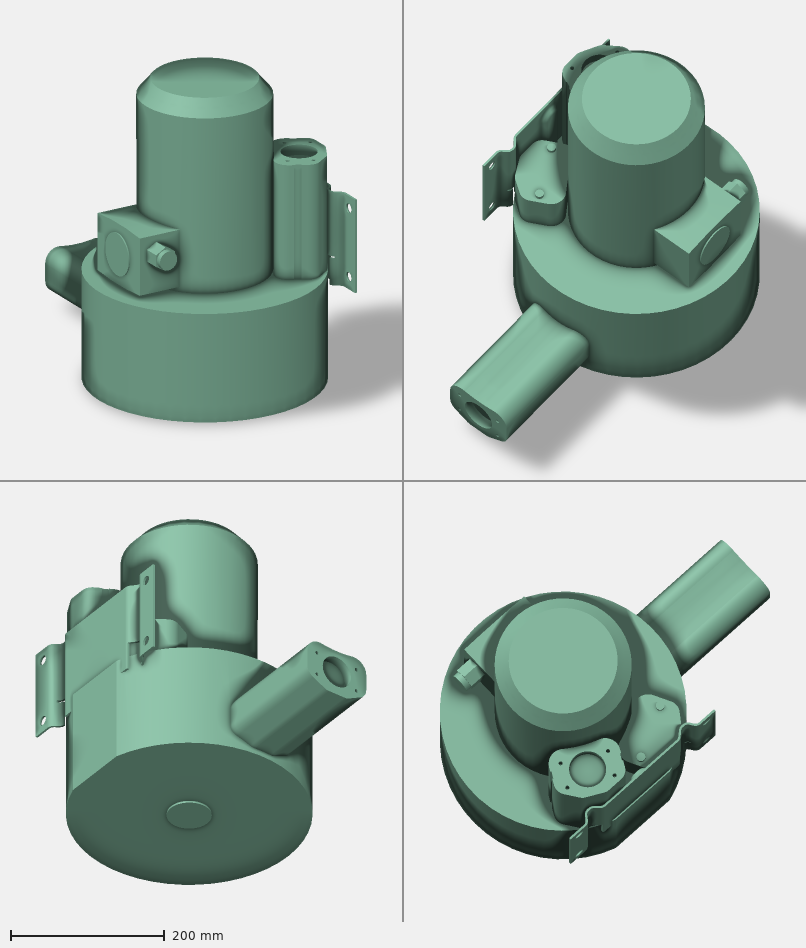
import cadquery as cq
import math


casing_radius = 160.5
casing_height = 152.0
casing_flat_y = 153.5
hub_diameter = 59.0
hub_height = 3.0
motor_radius = 89.5
motor_top_z = 419.5
motor_cone_height = 21.5
motor_cap_radius = 71.0

pipe_half_width = 48.0
pipe_upper_radius = 20.0
pipe_lower_radius = 17.0
pipe_bevel_blend_radius = 14.5
pipe_upper_corner = 15.5
pipe_lower_corner = -9.0
pipe_bottom = -35.5
pipe_saddle_radius = 90.0
pipe_saddle_depth = 33.0
port_angle = 27.5
screw_half_width = 32.0
screw_half_height = 17.0
screw_hole_diameter = 5.5
bore_depth = 14.5

outlet_end_x = casing_radius - 482.5
outlet_z = 44.0
outlet_bore_diameter = 46.0

port_distance = pipe_saddle_radius + pipe_saddle_depth
valve_top_z = 204.5
valve_bolt_diameter = 11.5
valve_bolt_height = 4.5
valve_bolt_half_spacing = 36.5
valve_bolt_distance = 121.0
inlet_top_z = 312.5
inlet_bore_diameter = 48.3
inlet_groove_width = 9.5
inlet_groove_depth = 1.5

box_left = -51.5
box_right = 54.0
box_front_y = -131.7
box_z = 199.5
box_side_half_height = 40.0
box_middle_half_height = 43.0
cover_diameter = 59.0
cover_height = 2.0
gland_y = -106.5
gland_z = 213.5
gland_nut_corners = 33.0
gland_nut_length = 23.0
gland_cap_diameter = 26.0
gland_cap_length = 7.5

bracket_back_y = 154.0
bracket_thickness = 3.0
bend_inner_radius = 7.0
bracket_bottom_z = 130.0
bracket_top_z = 260.5
bracket_half_width = 128.0
bracket_hole_x = 112.5
bracket_hole_inset = 17.5
bracket_hole_diameter = 13.0
panel_setback = 2.5
groove_depth = 12.5
ear_fold_x = 96.5
groove_outer_x = 88.0
groove_inner_x = 79.0
panel_fold_x = 68.0
notch_inner_x = panel_fold_x
notch_outer_x = 84.5
notch_top_z = 169.0
slit_outer_x = 91.5
slit_height = 3.0
rib_base_width = 32.0
rib_height = 7.0
rib_side_run = 6.5
rib_bottom_z = 137.5
rib_top_z = 251.0
rib_blend_radius = 5.5


def cylinder(diameter, height, x=0.0, y=0.0, z=0.0):
    return cq.Workplane("XY", origin=(x, y, z)).circle(diameter / 2).extrude(height)


def make_pipe(plane, length):
    """Extruded pipe section: saddle at +v, rounded corners and a bevelled bottom at -v."""
    bevel = math.radians(port_angle)
    upper_u = pipe_half_width - pipe_upper_radius
    lower_u = pipe_half_width - pipe_lower_radius
    saddle_v = pipe_saddle_depth + pipe_saddle_radius

    saddle_angle = math.atan2(upper_u, saddle_v - pipe_upper_corner)
    saddle_end = (
        upper_u - pipe_upper_radius * math.sin(saddle_angle),
        pipe_upper_corner + pipe_upper_radius * math.cos(saddle_angle),
    )
    upper_mid_angle = (math.pi / 2 - saddle_angle) / 2
    upper_mid = (
        upper_u + pipe_upper_radius * math.sin(upper_mid_angle),
        pipe_upper_corner + pipe_upper_radius * math.cos(upper_mid_angle),
    )
    lower_mid_angle = (math.pi / 2 - bevel) / 2
    lower_mid = (
        lower_u + pipe_lower_radius * math.cos(lower_mid_angle),
        pipe_lower_corner - pipe_lower_radius * math.sin(lower_mid_angle),
    )
    bevel_start = (
        lower_u + pipe_lower_radius * math.sin(bevel),
        pipe_lower_corner - pipe_lower_radius * math.cos(bevel),
    )
    bevel_end_u = bevel_start[0] - (bevel_start[1] - pipe_bottom) / math.tan(bevel)

    def mirrored(point):
        return (-point[0], point[1])

    pipe = (
        cq.Workplane(plane)
        .moveTo(*mirrored(saddle_end))
        .threePointArc((0, pipe_saddle_depth), saddle_end)
        .threePointArc(upper_mid, (pipe_half_width, pipe_upper_corner))
        .lineTo(pipe_half_width, pipe_lower_corner)
        .threePointArc(lower_mid, bevel_start)
        .lineTo(bevel_end_u, pipe_bottom)
        .lineTo(-bevel_end_u, pipe_bottom)
        .lineTo(*mirrored(bevel_start))
        .threePointArc(mirrored(lower_mid), (-pipe_half_width, pipe_lower_corner))
        .lineTo(-pipe_half_width, pipe_upper_corner)
        .threePointArc(mirrored(upper_mid), mirrored(saddle_end))
        .close()
        .extrude(length)
    )
    for u in (-bevel_end_u, bevel_end_u):
        edge_middle = plane.toWorldCoords((u, pipe_bottom, length / 2))
        bevel_edge = cq.selectors.NearestToPointSelector(edge_middle.toTuple())
        pipe = pipe.edges(bevel_edge).fillet(pipe_bevel_blend_radius)
    return pipe


def open_pipe(start_plane, length, bore_diameter):
    """Pipe that begins at its open end, with a blind bore and four screw holes there."""
    pipe = make_pipe(start_plane, length)
    bore = cq.Workplane(start_plane).circle(bore_diameter / 2).extrude(bore_depth)
    screw_holes = (
        cq.Workplane(start_plane)
        .rect(2 * screw_half_width, 2 * screw_half_height, forConstruction=True)
        .vertices()
        .circle(screw_hole_diameter / 2)
        .extrude(bore_depth)
    )
    return pipe.cut(bore).cut(screw_holes)


def make_casing():
    casing = cylinder(2 * casing_radius, casing_height)
    keep_size = 2 * casing_radius
    keep = cq.Workplane("XY").box(keep_size, keep_size, casing_height, centered=(True, False, False))
    casing = casing.intersect(keep.translate((0, casing_flat_y - keep_size, 0)))
    return casing.union(cylinder(hub_diameter, hub_height + casing_height, z=-hub_height))


def make_motor():
    shoulder_z = motor_top_z - motor_cone_height
    return (
        cq.Workplane("XZ")
        .polyline([
            (0, 0),
            (motor_radius, 0),
            (motor_radius, shoulder_z),
            (motor_cap_radius, motor_top_z),
            (0, motor_top_z),
        ])
        .close()
        .revolve(360, (0, 0), (0, 1))
    )


def make_outlet():
    end_plane = cq.Plane(origin=(outlet_end_x, 0, outlet_z), xDir=(0, 1, 0), normal=(1, 0, 0))
    return open_pipe(end_plane, -outlet_end_x, outlet_bore_diameter)


def port_plane(top_z):
    """Downward plane at the top of a port, with its +v axis toward the motor."""
    return cq.Plane(origin=(0, port_distance, top_z), xDir=(1, 0, 0), normal=(0, 0, -1))


def make_inlet_port():
    """Tall open port behind the motor on the +X side, with a shallow groove along each side."""
    top_plane = port_plane(inlet_top_z)
    port = open_pipe(top_plane, inlet_top_z, inlet_bore_diameter)
    side_grooves = (
        cq.Workplane(top_plane)
        .center(0, inlet_groove_width / 2)
        .pushPoints([(-pipe_half_width, 0), (pipe_half_width, 0)])
        .rect(2 * inlet_groove_depth, inlet_groove_width)
        .extrude(inlet_top_z)
    )
    port = port.cut(side_grooves)
    return port.rotate((0, 0, 0), (0, 0, 1), -port_angle)


def make_valve_port():
    """Short closed port behind the motor on the -X side, with two bolt heads on top."""
    top_plane = port_plane(valve_top_z)
    port = make_pipe(top_plane, valve_top_z)
    for side in (-1, 1):
        bolt_x = side * valve_bolt_half_spacing
        bolt = cylinder(valve_bolt_diameter, valve_bolt_height, bolt_x, valve_bolt_distance, valve_top_z)
        port = port.union(bolt)
    return port.rotate((0, 0, 0), (0, 0, 1), port_angle)


def make_terminal_box():
    """Box with slightly crowned top and bottom, a round cover disc and a cable gland."""
    middle_x = (box_left + box_right) / 2
    side_bottom = box_z - box_side_half_height
    side_top = box_z + box_side_half_height
    box = (
        cq.Workplane("XZ")
        .moveTo(box_left, side_bottom)
        .threePointArc((middle_x, box_z - box_middle_half_height), (box_right, side_bottom))
        .lineTo(box_right, side_top)
        .threePointArc((middle_x, box_z + box_middle_half_height), (box_left, side_top))
        .close()
        .extrude(-box_front_y)
    )
    cover_plane = cq.Workplane("XZ", origin=(0, box_front_y, box_z))
    cover = cover_plane.circle(cover_diameter / 2).extrude(cover_height)
    gland_plane = cq.Workplane("YZ", origin=(box_right, gland_y, gland_z))
    nut_plane = gland_plane.transformed(rotate=(0, 0, 90))
    nut = nut_plane.polygon(6, gland_nut_corners).extrude(gland_nut_length)
    cap = gland_plane.circle(gland_cap_diameter / 2).extrude(gland_nut_length + gland_cap_length)
    return box.union(cover).union(nut).union(cap)


def make_bracket():
    """Folded sheet: flat panel, a groove on each side and two drilled mounting ears."""
    panel_y = bracket_back_y - panel_setback
    groove_y = bracket_back_y - groove_depth
    folds = [
        (ear_fold_x, bracket_back_y),
        (groove_outer_x, groove_y),
        (groove_inner_x, groove_y),
        (panel_fold_x, panel_y),
    ]

    outer_fold = math.atan2(bracket_back_y - groove_y, ear_fold_x - groove_outer_x)
    inner_fold = math.atan2(panel_y - groove_y, groove_inner_x - panel_fold_x)
    outer_mitre = bracket_thickness * math.tan(outer_fold / 2)
    inner_mitre = bracket_thickness * math.tan(inner_fold / 2)
    mitres = (outer_mitre, outer_mitre, -inner_mitre, -inner_mitre)

    back_half = [(bracket_half_width, bracket_back_y)] + folds
    front_half = [(bracket_half_width, bracket_back_y - bracket_thickness)]
    front_half += [(x + mitre, y - bracket_thickness) for (x, y), mitre in zip(folds, mitres)]
    back_line = back_half + [(-x, y) for x, y in reversed(back_half)]
    front_line = front_half + [(-x, y) for x, y in reversed(front_half)]

    height = bracket_top_z - bracket_bottom_z
    sheet = (
        cq.Workplane("XY", origin=(0, 0, bracket_bottom_z))
        .polyline(back_line + front_line[::-1])
        .close()
        .extrude(height)
    )
    bend_outer_radius = bend_inner_radius + bracket_thickness
    back_radii = (bend_outer_radius, bend_inner_radius, bend_inner_radius, bend_outer_radius)
    front_radii = (bend_inner_radius, bend_outer_radius, bend_outer_radius, bend_inner_radius)
    bends = list(zip(back_half[1:], back_radii)) + list(zip(front_half[1:], front_radii))
    middle_z = (bracket_bottom_z + bracket_top_z) / 2
    for (x, y), radius in bends:
        for side in (-1, 1):
            corner = cq.selectors.NearestToPointSelector((side * x, y, middle_z))
            sheet = sheet.edges("|Z").edges(corner).fillet(radius)

    hole_points = [
        (x, z)
        for x in (-bracket_hole_x, bracket_hole_x)
        for z in (bracket_bottom_z + bracket_hole_inset, bracket_top_z - bracket_hole_inset)
    ]
    holes = (
        cq.Workplane("XZ", origin=(0, bracket_back_y, 0))
        .pushPoints(hole_points)
        .circle(bracket_hole_diameter / 2)
        .extrude(bracket_thickness)
    )
    sheet = sheet.cut(holes)
    for side in (-1, 1):
        sheet = sheet.cut(make_casing_notch(side))
    return add_stiffening_rib(sheet, panel_y - bracket_thickness)


def make_casing_notch(side):
    """Clearance strip beside the casing, with a relief slit across the groove floor."""
    depth = groove_depth + bracket_thickness
    height = notch_top_z - bracket_bottom_z
    strip = cq.Workplane("XY").box(notch_outer_x - notch_inner_x, depth, height, centered=False)
    slit_plane = cq.Workplane("XY", origin=(0, 0, height - slit_height / 2))
    slit = slit_plane.box(slit_outer_x - notch_inner_x, depth, slit_height, centered=False)
    notch = strip.union(slit).translate((notch_inner_x, bracket_back_y - depth, bracket_bottom_z))
    return notch if side > 0 else notch.mirror("YZ")


def add_stiffening_rib(sheet, panel_front_y):
    """Raise a round-ended rib with sloping, blended sides on the middle of the panel."""
    length = rib_top_z - rib_bottom_z
    taper = math.degrees(math.atan2(rib_side_run, rib_height))
    rib = (
        cq.Workplane("XZ", origin=(0, panel_front_y, rib_bottom_z + length / 2))
        .slot2D(length, rib_base_width, 90)
        .extrude(rib_height, taper=taper)
    )
    rib = rib.faces("<Y").edges().fillet(rib_blend_radius)
    zone_half_depth = bracket_thickness / 4
    base_zone = cq.selectors.BoxSelector(
        (-rib_base_width, panel_front_y - zone_half_depth, bracket_bottom_z + bracket_thickness),
        (rib_base_width, panel_front_y + zone_half_depth, bracket_top_z - bracket_thickness),
    )
    return sheet.union(rib).edges(base_zone).fillet(rib_blend_radius)


result = (
    make_casing()
    .union(make_motor())
    .union(make_outlet())
    .union(make_inlet_port())
    .union(make_valve_port())
    .union(make_terminal_box())
    .union(make_bracket())
)